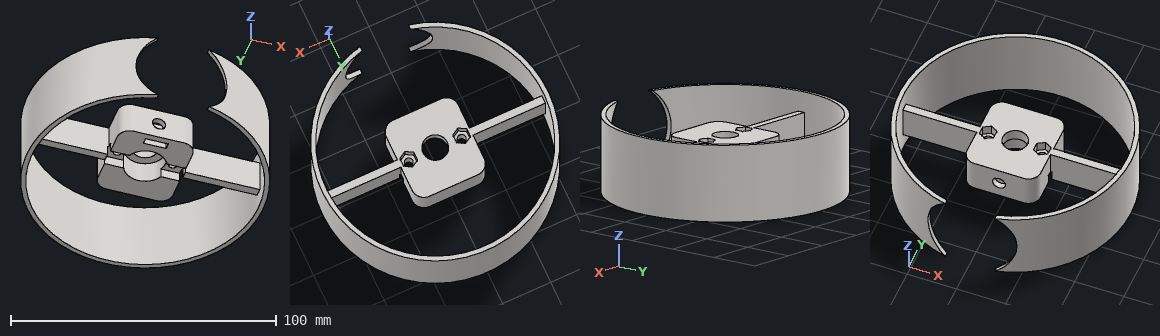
import cadquery as cq

ring_diameter = 94.0
ring_wall = 2.0
ring_height = 30.0
opening_diameter = 36.0

hub_width = 30.0
hub_depth = 33.0
hub_height = 14.0
hub_corner_radius = 5.0
arm_thickness = 3.2

shaft_diameter = 10.0
recess_diameter = 16.4
recess_depth = 9.2
side_hole_diameter = 5.2
bolt_diameter = 3.4
bolt_offset = 11.0
nut_across_corners = 6.7
nut_depth = 4.0

side_nut_wall = 2.4
side_nut_thickness = 2.5
side_nut_width = 9.0
side_nut_top = side_nut_width / 2

slot_length = 30.8
slot_width = 7.1
slot_depth = 4.0

ring_radius = ring_diameter / 2
inner_radius = ring_radius - ring_wall
hub_top = hub_height / 2
hub_bottom = -hub_top


def make_ring():
    """Thin ring with a round opening bored through its -Y side."""
    ring = cq.Workplane("XY").circle(ring_radius).circle(inner_radius).extrude(ring_height / 2, both=True)
    opening = cq.Workplane("XZ").circle(opening_diameter / 2).extrude(ring_diameter)
    return ring.cut(opening)


def make_hub():
    """Rounded block joined to one straight bar that forms both arms."""
    block = cq.Workplane("XY").box(hub_width, hub_depth, hub_height)
    block = block.edges("|Z").fillet(hub_corner_radius)
    arms = cq.Workplane("XY").box(2 * inner_radius + ring_wall, arm_thickness, hub_height)
    return block.union(arms)


def cut_shaft_holes(body):
    """Stepped shaft bore along Z and a side hole from the -Y face into it."""
    bottom = cq.Workplane("XY", origin=(0, 0, hub_bottom))
    shaft = bottom.circle(shaft_diameter / 2).extrude(hub_height)
    recess = bottom.circle(recess_diameter / 2).extrude(recess_depth)
    side_hole = cq.Workplane("XZ").circle(side_hole_diameter / 2).extrude(hub_depth / 2)
    return body.cut(shaft).cut(recess).cut(side_hole)


def cut_bolt_holes(body):
    """Two bolt holes with hexagonal nut pockets in the top face."""
    for x in (-bolt_offset, bolt_offset):
        bolt = cq.Workplane("XY", origin=(x, 0, hub_bottom)).circle(bolt_diameter / 2).extrude(hub_height)
        nut = (
            cq.Workplane("XY", origin=(x, 0, hub_top))
            .transformed(rotate=(0, 0, 90))
            .polygon(6, nut_across_corners)
            .extrude(-nut_depth)
        )
        body = body.cut(bolt).cut(nut)
    return body


def cut_side_nut_pocket(body):
    """Upright pocket that crosses the side hole just behind the -Y face."""
    pocket_y = -hub_depth / 2 + side_nut_wall + side_nut_thickness / 2
    pocket = (
        cq.Workplane("XY", origin=(0, pocket_y, hub_bottom))
        .rect(side_nut_width, side_nut_thickness)
        .extrude(side_nut_top - hub_bottom)
    )
    return body.cut(pocket)


def cut_bottom_slot(body):
    slot = cq.Workplane("XY", origin=(0, 0, hub_bottom)).rect(slot_length, slot_width).extrude(slot_depth)
    return body.cut(slot)


hub = make_hub()
hub = cut_shaft_holes(hub)
hub = cut_bolt_holes(hub)
hub = cut_side_nut_pocket(hub)
hub = cut_bottom_slot(hub)
result = make_ring().union(hub)